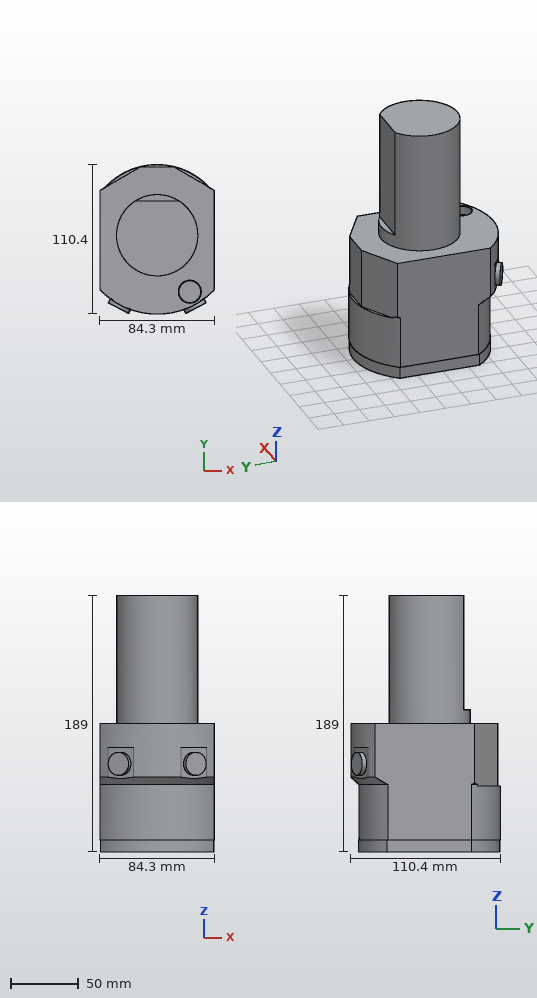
import cadquery as cq
import math

total_height = 189.0
base_height = 9.0
lower_top = 48.8
undercut_bottom = 49.7
undercut_top = 55.2
body_top = 94.9
shank_flat_bottom = 104.9

body_width = 84.3
upper_radius = 58.2
lower_radius = 52.2
base_width = 83.5
base_radius = 52.2
base_offset = -0.4
back_y = 50.3
back_corner_y = 33.0
back_slope_angle = 30.0

shank_diameter = 60.0
shank_flat_y = 25.1

hole_x = 24.0
hole_y = -41.5
hole_diameter = 16.0
hole_mouth_diameter = 17.0
hole_depth = 7.2

button_diameter = 17.0
button_face_distance = 60.9
button_height = 65.0
button_angle = 28.0
pad_width = 21.4
pad_top = 77.1


def disc_with_flats(radius, width, bottom, top, center_y=0):
    """Disc trimmed by two flats parallel to the YZ plane."""
    height = top - bottom
    disc = cq.Workplane("XY", origin=(0, center_y, bottom)).circle(radius).extrude(height)
    flats = (
        cq.Workplane("XY", origin=(0, center_y, bottom))
        .rect(width, 2 * radius)
        .extrude(height)
    )
    return disc.intersect(flats)


def upper_body():
    """Shoulder with a round front, a faceted back and a conical undercut."""
    half_width = body_width / 2
    front_corner_y = -math.sqrt(upper_radius**2 - half_width**2)
    back_half_width = half_width - (back_y - back_corner_y) / math.tan(math.radians(back_slope_angle))
    prism = (
        cq.Workplane("XY", origin=(0, 0, lower_top))
        .moveTo(-half_width, front_corner_y)
        .threePointArc((0, -upper_radius), (half_width, front_corner_y))
        .lineTo(half_width, back_corner_y)
        .lineTo(back_half_width, back_y)
        .lineTo(-back_half_width, back_y)
        .lineTo(-half_width, back_corner_y)
        .close()
        .extrude(body_top - lower_top)
    )
    undercut_envelope = (
        cq.Workplane("XZ")
        .moveTo(0, lower_top)
        .lineTo(lower_radius, lower_top)
        .lineTo(lower_radius, undercut_bottom)
        .lineTo(upper_radius, undercut_top)
        .lineTo(upper_radius, body_top)
        .lineTo(0, body_top)
        .close()
        .revolve(360, (0, 0), (0, 1))
    )
    return prism.intersect(undercut_envelope)


def shank():
    """Round shank with a flat on its back, stopping short of the shoulder."""
    radius = shank_diameter / 2
    flat_height = total_height - shank_flat_bottom
    cylinder = (
        cq.Workplane("XY", origin=(0, 0, body_top)).circle(radius).extrude(total_height - body_top)
    )
    flat_cut = (
        cq.Workplane("XY", origin=(0, shank_flat_y + radius / 2, shank_flat_bottom))
        .rect(shank_diameter, radius)
        .extrude(flat_height)
    )
    return cylinder.cut(flat_cut)


def shoulder_hole():
    """Blind hole with a small chamfer at its mouth."""
    chamfer = (hole_mouth_diameter - hole_diameter) / 2
    return (
        cq.Workplane("XZ", origin=(hole_x, hole_y, body_top))
        .moveTo(0, 0)
        .lineTo(hole_mouth_diameter / 2, 0)
        .lineTo(hole_diameter / 2, -chamfer)
        .lineTo(hole_diameter / 2, -hole_depth)
        .lineTo(0, -hole_depth)
        .close()
        .revolve(360, (0, 0), (0, 1))
    )


def radial_plane(side, distance, height):
    """Plane facing outward on one side (-1 or 1), at a distance from the shank axis."""
    angle = math.radians(button_angle)
    normal = (side * math.sin(angle), -math.cos(angle), 0)
    origin = (distance * normal[0], distance * normal[1], height)
    return cq.Plane(origin=origin, xDir=(-normal[1], normal[0], 0), normal=normal)


def add_button(body, side):
    """Cut a flat pad into the round front and stand a button on it."""
    pad_distance = math.sqrt(upper_radius**2 - (pad_width / 2) ** 2)
    pad_height = pad_top - lower_top
    pad_plane = radial_plane(side, pad_distance, lower_top + pad_height / 2)
    pad_cut = cq.Workplane(pad_plane).rect(pad_width, pad_height).extrude(upper_radius - pad_distance)
    button = (
        cq.Workplane(radial_plane(side, pad_distance, button_height))
        .circle(button_diameter / 2)
        .extrude(button_face_distance - pad_distance)
    )
    return body.cut(pad_cut).union(button)


base = disc_with_flats(base_radius, base_width, 0, base_height, base_offset)
lower_body = disc_with_flats(lower_radius, body_width, base_height, lower_top)
result = base.union(lower_body).union(upper_body()).union(shank()).cut(shoulder_hole())
for side in (-1, 1):
    result = add_button(result, side)